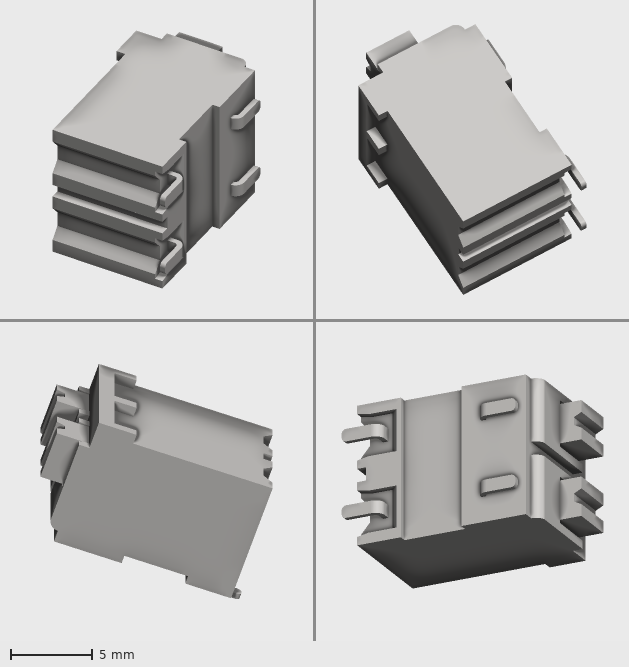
import cadquery as cq


pole_pitch = 5.08
pole_height = 4.2
pole_centers = (-pole_pitch / 2, pole_pitch / 2)
block_height = pole_pitch + pole_height
gap_height = pole_pitch - pole_height

flange_depth = 0.62
housing_right = 8.38
housing_back = 11.52
flange_front = 9.06

window_back = 10.51
window_height = 3.54
window_bar = 0.79
window_centers = (-(window_height + window_bar) / 2, (window_height + window_bar) / 2)

side_recess_depth = 0.52
side_floor = housing_right - side_recess_depth
side_recess_front = 2.98
side_recess_back = 7.12

front_groove_depth = 0.6
v_groove_mouth = 2.42
v_groove_floor = 1.04

raised_left = 1.78
raised_right = 7.64
raised_back = 12.18
raised_corner_radius = 0.66
raised_arc_width = 0.5

slot_height = 2.79
flare_step = 0.15
button_flare_length = 0.33
pin_flare_length = 0.76
button_clearance = 0.05
pin_slot_back = 2.15
pin_slot_ramp = side_recess_depth

button_left = raised_left + button_clearance
button_right = 4.9
button_back = 13.62
button_height = 2.62
button_notch_depth = 0.52
button_notch_mouth = 1.04
button_notch_floor = 0.52

pin_outer = 9.0
pin_thickness = 0.36
pin_width = 0.83
pin_length = 2.63
pin_tip_radius = 0.29
pin_bend_radius = 0.26
front_pin_tip = -0.76
rear_pin_tip = 11.1


def box(x_range, y_range, z_center, height):
    """Box from its X and Y limits, with its height centred on z_center."""
    return (
        cq.Workplane("XY", origin=(0, 0, z_center - height / 2))
        .moveTo(x_range[0], y_range[0])
        .lineTo(x_range[1], y_range[0])
        .lineTo(x_range[1], y_range[1])
        .lineTo(x_range[0], y_range[1])
        .close()
        .extrude(height)
    )


def tapered_profile(x_range, z_center, sections):
    """Prism along X, symmetric about z_center; sections lists (y, height) pairs."""
    upper = [(y, z_center + height / 2) for y, height in sections]
    lower = [(y, z_center - height / 2) for y, height in reversed(sections)]
    return (
        cq.Workplane("YZ", origin=(x_range[0], 0, 0))
        .polyline(upper + lower)
        .close()
        .extrude(x_range[1] - x_range[0])
    )


def make_housing():
    housing = box((flange_depth, housing_right), (0, housing_back), 0, block_height)
    flange = box((0, flange_depth), (flange_front, housing_back), 0, block_height)
    for z in window_centers:
        flange = flange.cut(box((0, flange_depth), (flange_front, window_back), z, window_height))
    side_recess = box(
        (side_floor, housing_right), (side_recess_front, side_recess_back), 0, block_height
    )
    gap = box((flange_depth, housing_right), (0, front_groove_depth), 0, gap_height)
    return housing.union(flange).cut(side_recess).cut(gap)


def make_v_groove(z):
    sections = [(0, v_groove_mouth), (front_groove_depth, v_groove_floor)]
    return tapered_profile((flange_depth, housing_right), z, sections)


def make_pin_slot(z):
    """Side slot for the front pin: flared mouth at the front, sloped wall at the back."""
    mouth_height = slot_height + 2 * flare_step
    slot_end = pin_slot_back + pin_slot_ramp
    sections = [(0, mouth_height), (pin_flare_length, slot_height), (slot_end, slot_height)]
    slot = tapered_profile((side_floor, housing_right), z, sections)
    ramp = (
        cq.Workplane("XY", origin=(0, 0, z - mouth_height / 2))
        .moveTo(side_floor, pin_slot_back)
        .lineTo(housing_right, slot_end)
        .lineTo(side_floor, slot_end)
        .close()
        .extrude(mouth_height)
    )
    return slot.cut(ramp)


def make_raised_block(z):
    """Block behind a pole with one rounded corner and the open-sided button slot."""
    block = (
        cq.Workplane("XY", origin=(0, 0, z - pole_height / 2))
        .moveTo(raised_left, housing_back)
        .lineTo(raised_right, housing_back)
        .radiusArc((raised_right - raised_arc_width, raised_back), -raised_corner_radius)
        .lineTo(raised_left, raised_back)
        .close()
        .extrude(pole_height)
    )
    sections = [
        (housing_back, slot_height),
        (raised_back - button_flare_length, slot_height),
        (raised_back, slot_height + 2 * flare_step),
    ]
    return block.cut(tapered_profile((raised_left, button_right + button_clearance), z, sections))


def make_button(z):
    x_range = (button_left, button_right)
    button = box(x_range, (housing_back, button_back), z, button_height)
    notch_sections = [
        (button_back - button_notch_depth, button_notch_floor),
        (button_back, button_notch_mouth),
    ]
    return button.cut(tapered_profile(x_range, z, notch_sections))


def make_pin(z, tip_y, direction):
    """L-shaped pin whose leg runs along Y towards direction (+1 or -1) and ends at tip_y."""
    base_y = tip_y - direction * pin_length
    leg_inner = pin_outer - pin_thickness
    arm_inner = base_y + direction * pin_thickness
    outer_radius = pin_bend_radius + pin_thickness
    bend_x = leg_inner - pin_bend_radius
    bend_y = arm_inner + direction * pin_bend_radius
    return (
        cq.Workplane("XY", origin=(0, 0, z - pin_width / 2))
        .moveTo(side_floor, base_y)
        .lineTo(bend_x, base_y)
        .radiusArc((pin_outer, bend_y), -direction * outer_radius)
        .lineTo(pin_outer, tip_y)
        .lineTo(leg_inner, tip_y)
        .lineTo(leg_inner, bend_y)
        .radiusArc((bend_x, arm_inner), direction * pin_bend_radius)
        .lineTo(side_floor, arm_inner)
        .close()
        .extrude(pin_width)
        .edges("|X")
        .edges(">Y" if direction > 0 else "<Y")
        .fillet(pin_tip_radius)
    )


result = make_housing()
for pole_z in pole_centers:
    result = result.cut(make_v_groove(pole_z)).cut(make_pin_slot(pole_z))
    result = result.union(make_raised_block(pole_z)).union(make_button(pole_z))
    result = result.union(make_pin(pole_z, front_pin_tip, -1))
    result = result.union(make_pin(pole_z, rear_pin_tip, 1))